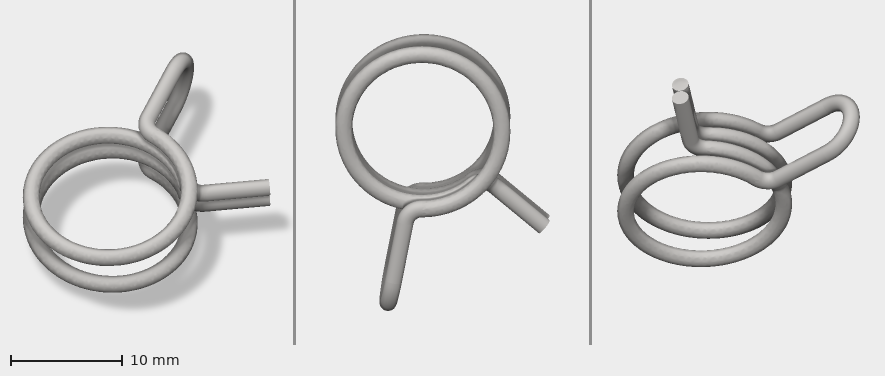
import cadquery as cq
import math


overall_length = 23.13
overall_height = 7.0
wire_diameter = 1.5
ring_outer_diameter = 15.64
bend_radius = 1.5
tab_half_angle = 30.0
free_leg_reach = 14.3
free_leg_gap = 0.05

wire_radius = wire_diameter / 2
ring_radius = ring_outer_diameter / 2 - wire_radius
loop_z = overall_height / 2 - wire_radius
free_leg_z = free_leg_gap / 2 + wire_radius
loop_angle = 90 + tab_half_angle
free_leg_angle = 90 - tab_half_angle

loop_tip_y = overall_length - ring_outer_diameter / 2 - wire_radius
loop_tip_reach = loop_tip_y / math.cos(math.radians(tab_half_angle))
loop_leg_reach = loop_tip_reach - loop_z

bend_center_distance = ring_radius + bend_radius
bend_start = math.sqrt(bend_center_distance**2 - bend_radius**2)
bend_sweep = math.degrees(math.acos(bend_radius / bend_center_distance))
bend_offset = 90 - bend_sweep

coil_start = free_leg_angle + bend_offset
coil_sweep = 360 + loop_angle - bend_offset - coil_start


def wire_section(x, z):
    """Wire cross-section facing along X, centred at (x, 0, z)."""
    return cq.Workplane("YZ", origin=(x, 0, z)).circle(wire_radius)


def bent_leg(reach, z):
    """Leg along +X with a bend at its inner end that turns towards -Y."""
    straight = wire_section(bend_start, z).extrude(reach - bend_start)
    bend = wire_section(bend_start, z).revolve(
        bend_sweep, (-bend_radius, 0), (-bend_radius, 1)
    )
    return straight.union(bend)


def turn(body, angle):
    """Rotate a body about the coil axis."""
    return body.rotate((0, 0, 0), (0, 0, 1), angle)


def loop():
    """Half circle of wire from the upper loop leg to the lower one."""
    half_circle = wire_section(loop_leg_reach, loop_z).revolve(
        180, (-0.23, -loop_z), (0.23, -loop_z)
    )
    return turn(half_circle, loop_angle)


def coil():
    """Right-handed helix of wire whose end faces are radial and match the bends."""
    rise = loop_z - free_leg_z
    path = cq.Wire.makeHelix(rise * 360 / coil_sweep, rise, ring_radius)
    section = cq.Workplane("XZ").center(ring_radius, 0).circle(wire_radius)
    helix = section.sweep(cq.Workplane(path), isFrenet=True)
    return turn(helix.translate((0, 0, free_leg_z)), coil_start)


loop_leg = turn(bent_leg(loop_leg_reach, loop_z), loop_angle)
free_leg = turn(bent_leg(free_leg_reach, free_leg_z).mirror("XZ"), free_leg_angle)
upper_half = coil().union(loop_leg).union(free_leg)

result = upper_half.union(loop()).union(upper_half.mirror("XY"))